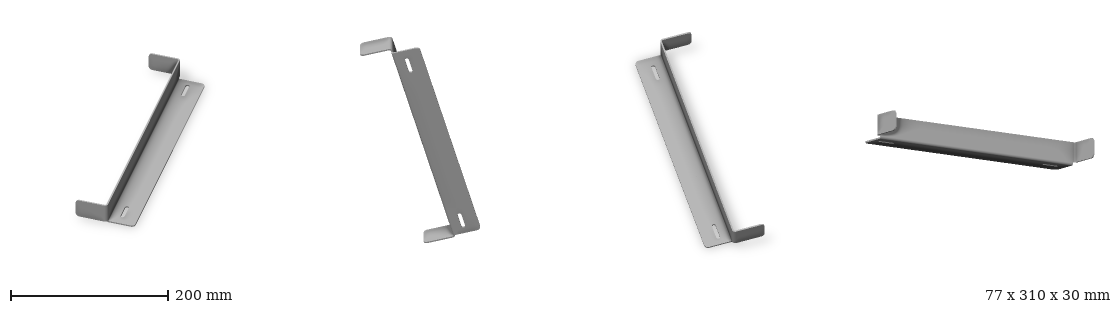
import cadquery as cq

thickness = 2.0
tab_bend_radius = 2.0
base_bend_radius = 1.0
corner_radius = 5.0

overall_length = 310.0
overall_height = 30.0
tab_reach = 42.0
tab_height = 26.0
base_reach = 35.0
base_inset_minus_y = 5.0
base_inset_plus_y = 6.0

slot_length = 23.0
slot_width = 5.0
slot_spacing = 255.0
slot_end_distance = 20.0
slot_edge_distance = 20.5

web_inner_x = tab_reach - thickness
base_edge_x = tab_reach + base_reach
tab_bottom = overall_height - tab_height
base_end_y = overall_length / 2 - base_inset_plus_y
base_length = overall_length - base_inset_minus_y - base_inset_plus_y


def rounded_block(length_x, length_y, bend_radius):
    """Block of the tab height, starting at X = 0, with its two +X upright edges rounded."""
    return (
        cq.Workplane("XY", origin=(0, 0, tab_bottom))
        .box(length_x, length_y, tab_height, centered=(False, True, False))
        .edges("|Z and >X")
        .fillet(bend_radius)
    )


def web_and_tabs():
    """Web and both end tabs: a U in plan, with rounded bends and tab corners."""
    outer = rounded_block(tab_reach, overall_length, tab_bend_radius + thickness)
    inner = rounded_block(web_inner_x, overall_length - 2 * thickness, tab_bend_radius)
    return outer.cut(inner).edges("|Y and <X").fillet(corner_radius)


def base_flange():
    """Base plate and its bend, running up to the underside of the web."""
    outer_radius = base_bend_radius + thickness
    bend_end_x = web_inner_x + outer_radius
    profile = (
        cq.Workplane("XZ", origin=(0, base_end_y, 0))
        .moveTo(base_edge_x, 0)
        .lineTo(bend_end_x, 0)
        .radiusArc((web_inner_x, outer_radius), outer_radius)
        .lineTo(web_inner_x, tab_bottom)
        .lineTo(tab_reach, tab_bottom)
        .lineTo(tab_reach, outer_radius)
        .radiusArc((bend_end_x, thickness), -base_bend_radius)
        .lineTo(base_edge_x, thickness)
        .close()
    )
    return profile.extrude(base_length).edges("|Z and >X").fillet(corner_radius)


def mounting_slots():
    """Cutters for the two slots through the base, long axis along Y."""
    slot_x = base_edge_x - slot_edge_distance
    first_y = base_end_y - slot_end_distance
    return (
        cq.Workplane("XY")
        .pushPoints([(slot_x, first_y), (slot_x, first_y - slot_spacing)])
        .slot2D(slot_length, slot_width, 90)
        .extrude(thickness)
    )


result = web_and_tabs().union(base_flange()).cut(mounting_slots())